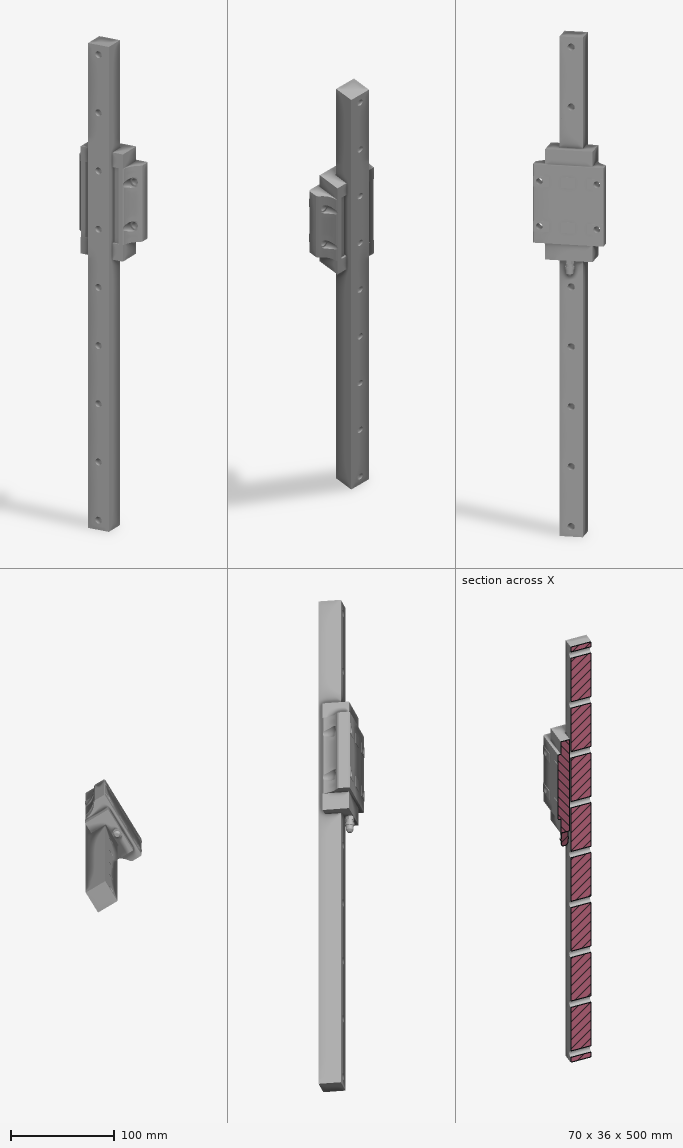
import cadquery as cq


RAIL_LENGTH = 500.0
RAIL_WIDTH = 23.0
RAIL_DEPTH = 22.0
RAIL_HOLE_DIAMETER = 7.0
RAIL_HOLE_PITCH = 60.0
RAIL_HOLE_COUNT = 9
RAIL_FIRST_HOLE_Z = (RAIL_LENGTH - (RAIL_HOLE_COUNT - 1) * RAIL_HOLE_PITCH) / 2

BLOCK_MID_Z = 335.0
CAP_MID_Z = 334.0
BLOCK_LENGTH = 78.5
BLOCK_WIDTH = 70.0
BLOCK_BACK_Y = 35.5
BACK_CHAMFER = 1.0
FLANGE_FRONT_Y = 24.5
FLANGE_CHAMFER_X = 1.5
FLANGE_CHAMFER_Y = 2.0
FLANK_FOOT_WIDTH = 48.0
FLANK_FOOT_Y = 8.0
FLANK_BULGE = 2.0
BLOCK_FRONT_WIDTH = 46.0

CAP_LENGTH = 110.5
CAP_WIDTH = 47.0
CARRIAGE_FRONT_Y = 6.5
CAP_BACK_Y = 32.5

CAP_SIDE_GAP = 0.5
BLOCK_SIDE_GAP = 1.5
CHANNEL_BACK_Y = 23.0
STEP_WIDTH = 37.0
STEP_DEPTH = 2.0

FLANGE_HOLE_DIAMETER = 6.5
FLANGE_HOLE_SPACING_X = 57.0
FLANGE_HOLE_SPACING_Z = 45.0
SPOT_FACE_DIAMETER = 10.5
SPOT_FACE_Y = 21.0
PAD_BACK_Y = 36.0
PAD_HEIGHT = 10.5
CENTER_PAD_WIDTH = 14.0
SIDE_PAD_INNER_X = 19.0
SIDE_PAD_OUTER_X = BLOCK_WIDTH / 2 - BACK_CHAMFER

NIPPLE_Y = 28.5
NIPPLE_TOP_Z = CAP_MID_Z - CAP_LENGTH / 2
HEX_ACROSS_CORNERS = 8.5
HEX_LENGTH = 3.5
NECK_DIAMETER = 7.5
NECK_LENGTH = 3.0
COLLAR_DIAMETER = 9.0
COLLAR_LENGTH = 2.5
HEAD_DIAMETER = 7.5
HEAD_LENGTH = 4.5
TIP_DIAMETER = 4.0
TIP_LENGTH = 2.5


def box(x_range, y_range, z_range):
    """Box spanning the given (low, high) ranges."""
    size = [high - low for low, high in (x_range, y_range, z_range)]
    corner = (x_range[0], y_range[0], z_range[0])
    return cq.Workplane("XY").box(*size, centered=False).translate(corner)


def span(middle, length):
    """Low and high end of a length centred on middle."""
    return (middle - length / 2, middle + length / 2)


def y_cylinder(x, z, diameter, y_low, y_high):
    """Cylinder along Y from y_low to y_high."""
    axis = cq.Vector(0, 1, 0)
    base = cq.Vector(x, y_low, z)
    return cq.Workplane(cq.Solid.makeCylinder(diameter / 2, y_high - y_low, base, axis))


def make_rail():
    rail = box(span(0, RAIL_WIDTH), (0, RAIL_DEPTH), (0, RAIL_LENGTH))
    for index in range(RAIL_HOLE_COUNT):
        z = RAIL_FIRST_HOLE_Z + index * RAIL_HOLE_PITCH
        rail = rail.cut(y_cylinder(0, z, RAIL_HOLE_DIAMETER, 0, RAIL_DEPTH))
    return rail


def cap_spans():
    """Z ranges of the lower and the upper end cap."""
    cap_low, cap_high = span(CAP_MID_Z, CAP_LENGTH)
    block_low, block_high = span(BLOCK_MID_Z, BLOCK_LENGTH)
    return (cap_low, block_low), (block_high, cap_high)


def make_flanged_block():
    """Middle block: flat flanges whose front sides sweep in as hollow curves."""
    half_width = BLOCK_WIDTH / 2
    curve_start = (half_width - FLANGE_CHAMFER_X, FLANGE_FRONT_Y - FLANGE_CHAMFER_Y)
    curve_end = (FLANK_FOOT_WIDTH / 2, FLANK_FOOT_Y)
    return (
        cq.Workplane("XY", origin=(0, 0, BLOCK_MID_Z - BLOCK_LENGTH / 2))
        .moveTo(half_width - BACK_CHAMFER, BLOCK_BACK_Y)
        .lineTo(half_width, BLOCK_BACK_Y - BACK_CHAMFER)
        .lineTo(half_width, FLANGE_FRONT_Y)
        .lineTo(*curve_start)
        .sagittaArc(curve_end, -FLANK_BULGE)
        .lineTo(BLOCK_FRONT_WIDTH / 2, CARRIAGE_FRONT_Y)
        .lineTo(-BLOCK_FRONT_WIDTH / 2, CARRIAGE_FRONT_Y)
        .lineTo(-curve_end[0], curve_end[1])
        .sagittaArc((-curve_start[0], curve_start[1]), -FLANK_BULGE)
        .lineTo(-half_width, FLANGE_FRONT_Y)
        .lineTo(-half_width, BLOCK_BACK_Y - BACK_CHAMFER)
        .lineTo(-half_width + BACK_CHAMFER, BLOCK_BACK_Y)
        .close()
        .extrude(BLOCK_LENGTH)
    )


def add_pads(carriage):
    """Two rows of three raised pads on the back face."""
    pad_y = (BLOCK_BACK_Y, PAD_BACK_Y)
    for z in span(BLOCK_MID_Z, FLANGE_HOLE_SPACING_Z):
        pad_z = span(z, PAD_HEIGHT)
        carriage = carriage.union(box(span(0, CENTER_PAD_WIDTH), pad_y, pad_z))
        carriage = carriage.union(box((SIDE_PAD_INNER_X, SIDE_PAD_OUTER_X), pad_y, pad_z))
        carriage = carriage.union(box((-SIDE_PAD_OUTER_X, -SIDE_PAD_INNER_X), pad_y, pad_z))
    return carriage


def cut_flange_holes(carriage):
    """Four through holes with spot faces in the hollow flanks."""
    for x in span(0, FLANGE_HOLE_SPACING_X):
        for z in span(BLOCK_MID_Z, FLANGE_HOLE_SPACING_Z):
            carriage = carriage.cut(y_cylinder(x, z, FLANGE_HOLE_DIAMETER, 0, PAD_BACK_Y))
            carriage = carriage.cut(y_cylinder(x, z, SPOT_FACE_DIAMETER, 0, SPOT_FACE_Y))
    return carriage


def cut_channel(carriage):
    """Channel for the rail, with clearance all round and a front step between the caps."""
    block_z = span(BLOCK_MID_Z, BLOCK_LENGTH)
    cap_channel_x = span(0, RAIL_WIDTH + 2 * CAP_SIDE_GAP)
    block_channel_x = span(0, RAIL_WIDTH + 2 * BLOCK_SIDE_GAP)
    carriage = carriage.cut(box(cap_channel_x, (0, CHANNEL_BACK_Y), span(CAP_MID_Z, CAP_LENGTH)))
    carriage = carriage.cut(box(block_channel_x, (0, CHANNEL_BACK_Y), block_z))
    return carriage.cut(box(span(0, STEP_WIDTH), (0, CARRIAGE_FRONT_Y + STEP_DEPTH), block_z))


def make_carriage():
    block = make_flanged_block()
    for cap_z in cap_spans():
        block = block.union(box(span(0, CAP_WIDTH), (CARRIAGE_FRONT_Y, CAP_BACK_Y), cap_z))
    return cut_channel(cut_flange_holes(add_pads(block)))


def make_nipple():
    """Hexagon under the cap, then a turned neck, collar, head and conical tip."""
    neck_z = -HEX_LENGTH
    collar_z = neck_z - NECK_LENGTH
    head_z = collar_z - COLLAR_LENGTH
    cone_z = head_z - HEAD_LENGTH
    tip_z = cone_z - TIP_LENGTH
    hexagon = cq.Workplane("XY").polygon(6, HEX_ACROSS_CORNERS).extrude(-HEX_LENGTH)
    turned = (
        cq.Workplane("XZ")
        .moveTo(0, neck_z)
        .lineTo(NECK_DIAMETER / 2, neck_z)
        .lineTo(NECK_DIAMETER / 2, collar_z)
        .lineTo(COLLAR_DIAMETER / 2, collar_z)
        .lineTo(COLLAR_DIAMETER / 2, head_z)
        .lineTo(HEAD_DIAMETER / 2, head_z)
        .lineTo(HEAD_DIAMETER / 2, cone_z)
        .lineTo(TIP_DIAMETER / 2, tip_z)
        .lineTo(0, tip_z)
        .close()
        .revolve(360, (0, 0, 0), (0, 1, 0))
    )
    return hexagon.union(turned).translate((0, NIPPLE_Y, NIPPLE_TOP_Z))


rail = make_rail()
carriage = make_carriage()
nipple = make_nipple()

result = cq.Compound.makeCompound([rail.val(), carriage.val(), nipple.val()])